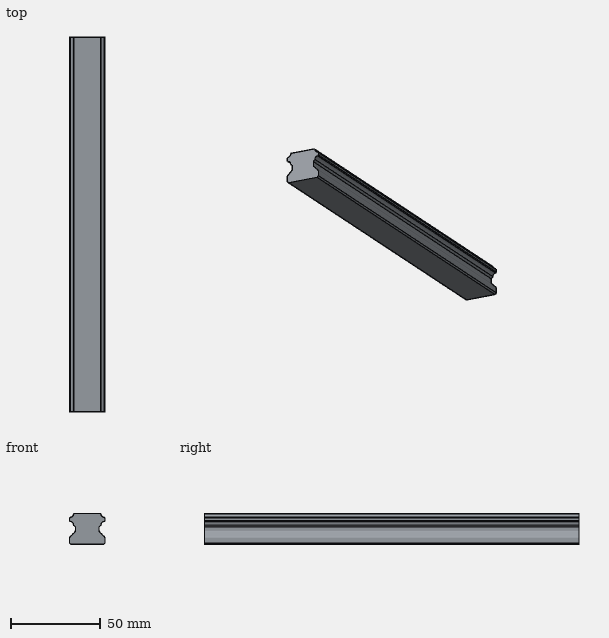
import cadquery as cq
import math

length = 210.0
width = 20.0
height = 17.5
half_width = width / 2

edge_chamfer = 0.48
groove_radius = 1.7
land_height = 1.5
groove_lip = 0.2

neck_half_width = 6.7
base_side_height = 4.0
base_shoulder_radius = 1.5
neck_root_radius = 1.0
base_chamfer = 0.8

groove_inner_x = half_width - edge_chamfer - groove_radius
groove_outer_x = half_width - edge_chamfer
top_half_width = groove_inner_x - edge_chamfer
upper_groove_top = height - edge_chamfer
upper_groove_bottom = upper_groove_top - groove_radius
land_top = upper_groove_bottom - edge_chamfer
land_bottom = land_top - land_height
lower_groove_top = land_bottom - edge_chamfer
lower_groove_bottom = lower_groove_top - groove_radius

flank_top = lower_groove_bottom - groove_lip
neck_top = flank_top - (groove_inner_x - neck_half_width)
neck_bottom = base_side_height + (half_width - neck_half_width)

arc_mid_offset = groove_radius * math.sqrt(0.5)
groove_mid_x = groove_outer_x - arc_mid_offset


def make_half_rail():
    """Extrude the +X half of the cross-section along Y."""
    profile = (
        cq.Workplane("XZ", origin=(0, length / 2, 0))
        .moveTo(0, 0)
        .lineTo(half_width - base_chamfer, 0)
        .lineTo(half_width, base_chamfer)
        .lineTo(half_width, base_side_height)
        .lineTo(neck_half_width, neck_bottom)
        .lineTo(neck_half_width, neck_top)
        .lineTo(groove_inner_x, flank_top)
        .lineTo(groove_inner_x, lower_groove_bottom)
        .threePointArc(
            (groove_mid_x, lower_groove_bottom + arc_mid_offset),
            (groove_outer_x, lower_groove_top),
        )
        .lineTo(half_width, land_bottom)
        .lineTo(half_width, land_top)
        .lineTo(groove_outer_x, upper_groove_bottom)
        .threePointArc(
            (groove_mid_x, upper_groove_top - arc_mid_offset),
            (groove_inner_x, upper_groove_top),
        )
        .lineTo(top_half_width, height)
        .lineTo(0, height)
        .close()
    )
    return profile.extrude(length)


def round_edge(body, x, z, radius):
    """Fillet the lengthwise edge at the given place in the cross-section."""
    return body.edges(cq.NearestToPointSelector((x, 0, z))).fillet(radius)


half_rail = make_half_rail()
half_rail = round_edge(half_rail, half_width, base_side_height, base_shoulder_radius)
half_rail = round_edge(half_rail, neck_half_width, neck_bottom, neck_root_radius)
result = half_rail.union(half_rail.mirror("YZ")).clean()